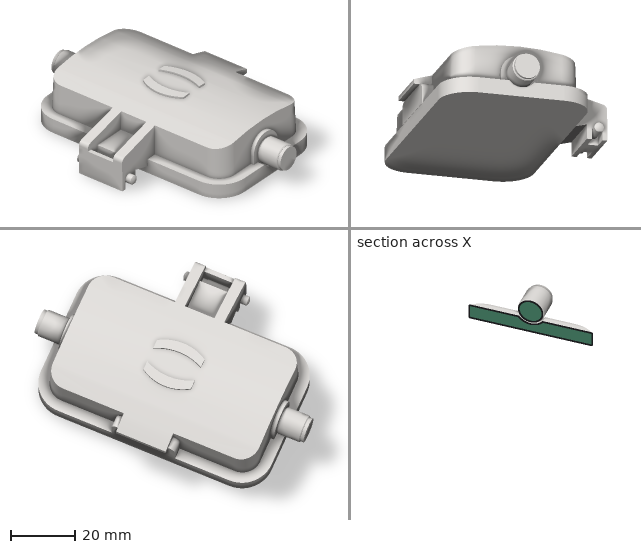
import cadquery as cq
import math

FLANGE_LENGTH = 78.2
FLANGE_WIDTH = 47.9
FLANGE_THICKNESS = 5.0
FLANGE_CORNER_RADIUS = 10.0

COVER_LENGTH = 70.9
COVER_WIDTH = 40.8
COVER_DRAFT = 2.0
COVER_CORNER_RADIUS = 6.0
ROOF_APEX = 18.0
ROOF_RADIUS = 79.9
ROOF_STOCK = 0.9
EMBED = 4.6

OVERALL_LENGTH = 91.15
PIVOT_DIAMETER = 8.8
PIVOT_TIP_DIAMETER = 8.0
PIVOT_TIP_LENGTH = 1.1
PIVOT_CHAMFER = 0.3
PIVOT_HEIGHT = 7.9
PAD_RADIUS = 6.0
PAD_FACE_X = 36.55
PAD_HEIGHT = 8.2
NECK_LENGTH = 0.3
PIVOT_NOTCH_RADIUS = 5.1

ARM_TIP_Y = -36.7
ARM_TOP_WIDTH = 16.6
ARM_WIDTH = 17.3
ARM_BOTTOM = -0.55
ARM_ROOF_TANGENT_Y = -20.7
ARM_UNDERSIDE_TIP = 5.9
ARM_NOSE_RADIUS = 1.7
FOOT_DEPTH = 6.6
CHANNEL_WIDTH = 10.0
CHANNEL_FLOOR = 8.75
PIN_DIAMETER = 3.0
PIN_LENGTH = 22.2
PIN_DOME = 0.5
PIN_Y = -33.5
PIN_HEIGHT = 2.9
SLOT_WIDTH = 3.4
LUG_WIDTH = 6.9

TAB_END_Y = 26.0
TAB_WIDTH = 16.8
TAB_UNDERSIDE = 12.1
BLOCK_WIDTH = 21.5
BLOCK_END_Y = 24.1
BLOCK_FILLET = 2.0

BAND_WIDTH = 16.1
BAND_HEIGHT = 0.68
BAND_INNER_APEX = 4.4
BAND_INNER_END = 2.4
BAND_OUTER_APEX = 7.7
BAND_OUTER_END = 5.3


ROOF_AXIS_HEIGHT = ROOF_APEX - ROOF_RADIUS
ROOF_SLOPE = -ARM_ROOF_TANGENT_Y / math.sqrt(ROOF_RADIUS**2 - ARM_ROOF_TANGENT_Y**2)


def roof_height(y):
    """Height of the cylindrical roof."""
    return ROOF_AXIS_HEIGHT + math.sqrt(ROOF_RADIUS**2 - y**2)


def along_x(profile, width):
    """YZ profile extruded symmetrically about X = 0."""
    return profile.extrude(width).translate((-width / 2, 0, 0))


def box(width, y_start, y_end, z_start, z_end):
    """Box centred on X = 0."""
    corner = (-width / 2, y_start, z_start)
    block = cq.Workplane("XY").box(width, y_end - y_start, z_end - z_start, centered=False)
    return block.translate(corner)


def roof_envelope():
    """Space under the roof: an arc that runs out tangentially along the arm."""
    tangent_height = roof_height(ARM_ROOF_TANGENT_Y)
    tip_height = tangent_height + ROOF_SLOPE * (ARM_TIP_Y - ARM_ROOF_TANGENT_Y)
    profile = (
        cq.Workplane("YZ")
        .moveTo(ARM_TIP_Y, ARM_BOTTOM)
        .lineTo(ARM_TIP_Y, tip_height)
        .lineTo(ARM_ROOF_TANGENT_Y, tangent_height)
        .threePointArc((0, ROOF_APEX), (TAB_END_Y, roof_height(TAB_END_Y)))
        .lineTo(TAB_END_Y, ARM_BOTTOM)
        .close()
    )
    nose = cq.selectors.NearestToPointSelector((0, ARM_TIP_Y, tip_height))
    return along_x(profile, OVERALL_LENGTH).edges(nose).fillet(ARM_NOSE_RADIUS)


def flange():
    """Plate under the cover."""
    plate = cq.Workplane("XY").rect(FLANGE_LENGTH, FLANGE_WIDTH).extrude(FLANGE_THICKNESS)
    return plate.edges("|Z").fillet(FLANGE_CORNER_RADIUS)


def pivot_notch():
    """Clearance cut into the +X rim of the flange, outside the pad."""
    notch = cq.Workplane("YZ", origin=(PAD_FACE_X, 0, PAD_HEIGHT)).circle(PIVOT_NOTCH_RADIUS)
    return notch.extrude(FLANGE_LENGTH / 2 - PAD_FACE_X)


def cover():
    """Drafted box before its roof is trimmed."""
    block = (
        cq.Workplane("XY")
        .workplane(offset=FLANGE_THICKNESS)
        .rect(COVER_LENGTH, COVER_WIDTH)
        .extrude(ROOF_APEX + ROOF_STOCK - FLANGE_THICKNESS, taper=COVER_DRAFT)
    )
    return block.edges("not #Z").fillet(COVER_CORNER_RADIUS)


def pivot():
    """Pivot pin, its neck and its pad on the +X end."""
    cover_x = COVER_LENGTH / 2 - EMBED
    pin_start = PAD_FACE_X + NECK_LENGTH
    tip_start = OVERALL_LENGTH / 2 - PIVOT_TIP_LENGTH

    def cylinder(x_start, x_end, diameter):
        base = cq.Workplane("YZ", origin=(x_start, 0, PIVOT_HEIGHT))
        return base.circle(diameter / 2).extrude(x_end - x_start)

    pad = (
        cq.Workplane("YZ", origin=(cover_x, 0, 0))
        .moveTo(-PAD_RADIUS, FLANGE_THICKNESS)
        .lineTo(-PAD_RADIUS, PAD_HEIGHT)
        .threePointArc((0, PAD_HEIGHT + PAD_RADIUS), (PAD_RADIUS, PAD_HEIGHT))
        .lineTo(PAD_RADIUS, FLANGE_THICKNESS)
        .close()
        .extrude(PAD_FACE_X - cover_x)
    )
    pin = cylinder(pin_start, tip_start, PIVOT_DIAMETER).edges().chamfer(PIVOT_CHAMFER)
    core = cylinder(cover_x, OVERALL_LENGTH / 2, PIVOT_TIP_DIAMETER)
    return pad.union(pin).union(core)


def arm():
    """Drafted arm with a sloping underside, a vertical foot at its tip and a channel between two ribs."""
    cover_y = -COVER_WIDTH / 2 + EMBED
    foot_y = ARM_TIP_Y + FOOT_DEPTH

    def underside(y):
        return ARM_UNDERSIDE_TIP - ROOF_SLOPE * (y - ARM_TIP_Y)

    side = cq.Workplane("YZ").polyline(
        [
            (ARM_TIP_Y, ROOF_APEX),
            (ARM_TIP_Y, ARM_BOTTOM),
            (foot_y, ARM_BOTTOM),
            (foot_y, underside(foot_y)),
            (-FLANGE_WIDTH / 2, underside(-FLANGE_WIDTH / 2)),
            (cover_y, underside(-FLANGE_WIDTH / 2)),
            (cover_y, ROOF_APEX),
        ]
    )
    body = along_x(side.close(), ARM_WIDTH)
    underside_frame = cq.Plane(
        origin=(0, ARM_TIP_Y, ARM_UNDERSIDE_TIP), xDir=(1, 0, 0), normal=(0, -1, ROOF_SLOPE)
    )
    section = cq.Workplane(underside_frame).polyline(
        [
            (-ARM_WIDTH / 2, -ROOF_APEX),
            (ARM_WIDTH / 2, -ROOF_APEX),
            (ARM_WIDTH / 2, 0),
            (ARM_TOP_WIDTH / 2, ROOF_APEX),
            (-ARM_TOP_WIDTH / 2, ROOF_APEX),
            (-ARM_WIDTH / 2, 0),
        ]
    )
    body = body.intersect(section.close().extrude(-ARM_TIP_Y, both=True))

    channel = box(CHANNEL_WIDTH, ARM_TIP_Y, cover_y, CHANNEL_FLOOR, ROOF_APEX)
    slot_sides = (PIN_Y - SLOT_WIDTH / 2, PIN_Y + SLOT_WIDTH / 2)
    slot = box(ARM_WIDTH, *slot_sides, ARM_BOTTOM, PIN_HEIGHT)
    well = box(CHANNEL_WIDTH, *slot_sides, ARM_BOTTOM, CHANNEL_FLOOR)
    lug = box(LUG_WIDTH, *slot_sides, ARM_BOTTOM, PIN_HEIGHT)
    lug_top = cq.Workplane("YZ", origin=(0, PIN_Y, PIN_HEIGHT)).circle(SLOT_WIDTH / 2)
    return body.cut(channel).cut(slot).cut(well).union(lug).union(along_x(lug_top, LUG_WIDTH))


def arm_pin():
    """Round pin with domed ends."""
    radius = PIN_DIAMETER / 2
    half = PIN_LENGTH / 2
    rim = half - PIN_DOME
    dome_radius = (radius**2 + PIN_DOME**2) / (2 * PIN_DOME)
    mid_radius = radius / 2
    mid_x = half - dome_radius + math.sqrt(dome_radius**2 - mid_radius**2)
    profile = (
        cq.Workplane("XY")
        .moveTo(-half, 0)
        .threePointArc((-mid_x, mid_radius), (-rim, radius))
        .lineTo(rim, radius)
        .threePointArc((mid_x, mid_radius), (half, 0))
        .close()
    )
    return profile.revolve(360, (0, 0), (1, 0)).translate((0, PIN_Y, PIN_HEIGHT))


def back_tab():
    """Tab level with the roof, over a wider block with rounded top corners."""
    cover_y = COVER_WIDTH / 2 - EMBED
    tab = box(TAB_WIDTH, cover_y, TAB_END_Y, TAB_UNDERSIDE, ROOF_APEX)
    block = box(BLOCK_WIDTH, cover_y, BLOCK_END_Y, FLANGE_THICKNESS, TAB_UNDERSIDE)
    return tab.union(block.edges("|Y and >Z").fillet(BLOCK_FILLET))


def raised_band():
    """Curved band on the +Y side of the roof centre."""
    half = BAND_WIDTH / 2
    outline = (
        cq.Workplane("XY")
        .moveTo(-half, BAND_INNER_END)
        .threePointArc((0, BAND_INNER_APEX), (half, BAND_INNER_END))
        .lineTo(half, BAND_OUTER_END)
        .threePointArc((0, BAND_OUTER_APEX), (-half, BAND_OUTER_END))
        .close()
    )
    band = outline.extrude(ROOF_APEX + BAND_HEIGHT)
    roof_axis = cq.Workplane("YZ", origin=(-half, 0, ROOF_AXIS_HEIGHT))
    return band.intersect(roof_axis.circle(ROOF_RADIUS + BAND_HEIGHT).extrude(BAND_WIDTH))


def turned(feature, angle):
    """Feature turned about the Z axis."""
    return feature.rotate((0, 0, 0), (0, 0, 1), angle)


upper_parts = cover().union(arm()).union(back_tab()).intersect(roof_envelope())
result = flange().union(upper_parts).union(arm_pin())
for half_turn in (0, 180):
    result = result.cut(turned(pivot_notch(), half_turn))
    result = result.union(turned(pivot(), half_turn))
    result = result.union(turned(raised_band(), half_turn))